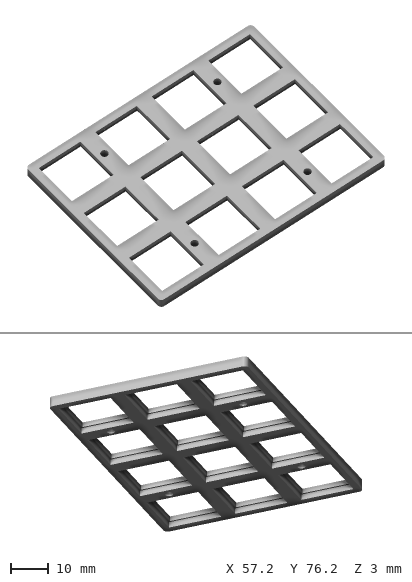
import cadquery as cq

columns = 3
rows = 4
pitch = 19.05
thickness = 3.0
corner_radius = 1.2
opening = 14.0
relief_opening = 15.0
lip_thickness = 1.4
screw_hole_diameter = 2.2

plate_width = columns * pitch
plate_length = rows * pitch
relief_depth = thickness - lip_thickness
hole_spacing_x = (columns - 1) * pitch
hole_spacing_y = (rows - 2) * pitch


def square_grid(side, height):
    """Square prisms standing on Z = 0, one at the centre of each grid cell."""
    return (
        cq.Workplane("XY")
        .rarray(pitch, pitch, columns, rows)
        .rect(side, side)
        .extrude(height)
    )


plate = (
    cq.Workplane("XY")
    .rect(plate_width, plate_length)
    .extrude(thickness)
    .edges("|Z")
    .fillet(corner_radius)
)

openings = square_grid(opening, thickness)
reliefs = square_grid(relief_opening, relief_depth)

screw_holes = (
    cq.Workplane("XY")
    .rarray(hole_spacing_x, hole_spacing_y, 2, 2)
    .circle(screw_hole_diameter / 2)
    .extrude(thickness)
)

result = plate.cut(openings).cut(reliefs).cut(screw_holes)